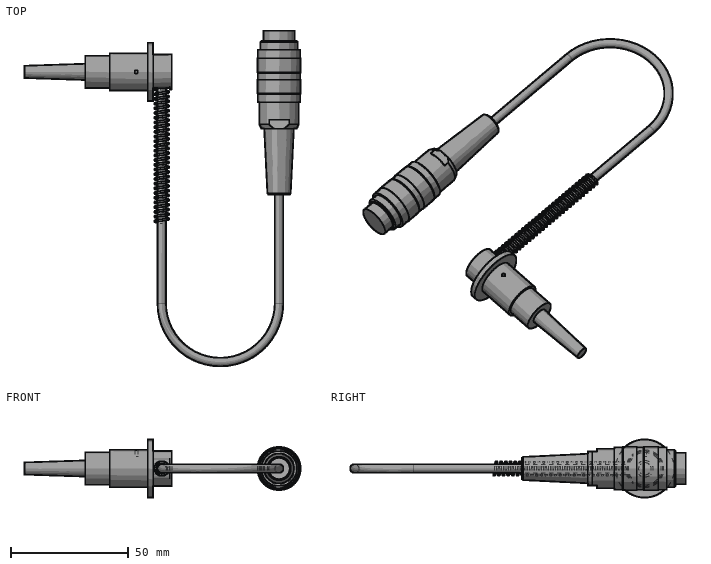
import cadquery as cq

probe_length = 26.0
probe_tip_diameter = 5.3
probe_base_diameter = 7.0

collar_diameter = 13.9
barrel_start = 36.4
barrel_diameter = 16.0
flange_diameter = 25.0
flange_start = 52.6
flange_end = 54.9
boss_diameter = 15.0
boss_end = 63.0
set_hole_diameter = 1.5
set_hole_depth = 2.9
set_hole_x = 47.7
seat_distance = 6.9
seat_blend = 3.6
seat_rim = 0.9
seat_end = boss_end - seat_rim

cable_diameter = 3.7
cable_x = 58.6
connector_x = 108.7
bend_centre_y = -98.8
bend_radius = (connector_x - cable_x) / 2

spring_diameter = 6.3
wire_diameter = 0.9
spring_pitch = 2.0
spring_turns = 28.2
spring_radius = (spring_diameter - wire_diameter) / 2
spring_end_y = -64.2
spring_length = spring_pitch * spring_turns

connector_end_y = 17.6
plug_diameter = 13.5
plug_length = 4.5
neck_diameter = 16.0
neck_chamfer = 0.6
sleeve_start = 8.2
sleeve_diameter = 18.2
sleeve_end = 30.5
ring_diameter = 18.5
ring_starts = (11.9, 21.0)
ring_length = 6.3
ring_bevel = 0.5
tail_diameter = 16.9
tail_chamfer_start = 40.0
tail_end = 41.9
tail_face_diameter = 15.2
flat_start = 38.0
flat_distance = 7.3

boot_start_diameter = 12.8
boot_end_diameter = 10.0
boot_face_diameter = 9.0
boot_end = 70.0
boot_chamfer = (boot_end_diameter - boot_face_diameter) / 2

connector_axis = cq.Workplane("XY", origin=(connector_x, connector_end_y, 0))


def revolve_along_y(profile):
    """Revolve (distance from free end, diameter) points about the connector axis."""
    points = [(diameter / 2, -distance) for distance, diameter in profile]
    first_distance = profile[0][0]
    last_distance = profile[-1][0]
    outline = [(0, -first_distance)] + points + [(0, -last_distance)]
    return connector_axis.polyline(outline).close().revolve(360, (0, 0), (0, 1))


def make_probe():
    return (
        cq.Workplane("YZ")
        .circle(probe_tip_diameter / 2)
        .workplane(offset=probe_length)
        .circle(probe_base_diameter / 2)
        .loft()
    )


def cylinder_along_x(diameter, start, end):
    return cq.Workplane("YZ", origin=(start, 0, 0)).circle(diameter / 2).extrude(end - start)


def make_seat():
    """Front part of the boss, with a flat facing -Y that blends into the round."""
    flat_cut = cq.Workplane("XY").box(2 * boss_end, boss_diameter, boss_diameter).translate(
        (boss_end, -seat_distance - boss_diameter / 2, 0)
    )
    return (
        cylinder_along_x(boss_diameter, flange_end, seat_end)
        .cut(flat_cut)
        .edges("|X and (<Y)")
        .fillet(seat_blend)
    )


def make_housing():
    housing = (
        cylinder_along_x(collar_diameter, probe_length, barrel_start)
        .union(cylinder_along_x(barrel_diameter, barrel_start, flange_start))
        .union(cylinder_along_x(flange_diameter, flange_start, flange_end))
        .union(make_seat())
        .union(cylinder_along_x(boss_diameter, seat_end, boss_end))
    )
    set_hole = (
        cq.Workplane("XY", origin=(set_hole_x, 0, barrel_diameter / 2))
        .circle(set_hole_diameter / 2)
        .extrude(-set_hole_depth)
    )
    return housing.cut(set_hole)


def make_cable():
    path = (
        cq.Workplane("XY")
        .moveTo(cable_x, -seat_distance)
        .lineTo(cable_x, bend_centre_y)
        .threePointArc(
            (cable_x + bend_radius, bend_centre_y - bend_radius), (connector_x, bend_centre_y)
        )
        .lineTo(connector_x, connector_end_y - boot_end)
    )
    return (
        cq.Workplane("XZ", origin=(cable_x, -seat_distance, 0))
        .circle(cable_diameter / 2)
        .sweep(path)
    )


def make_spring():
    helix = cq.Wire.makeHelix(spring_pitch, spring_length, spring_radius)
    wire = (
        cq.Workplane("XZ", origin=(spring_radius, 0, 0))
        .circle(wire_diameter / 2)
        .sweep(cq.Workplane(helix), isFrenet=True)
    )
    return (
        wire.rotate((0, 0, 0), (0, 0, 1), 90)
        .rotate((0, 0, 0), (1, 0, 0), -90)
        .translate((cable_x, spring_end_y, 0))
    )


def make_connector():
    profile = [
        (0, plug_diameter),
        (plug_length, plug_diameter),
        (plug_length, neck_diameter - 2 * neck_chamfer),
        (plug_length + neck_chamfer, neck_diameter),
        (sleeve_start, neck_diameter),
        (sleeve_start, sleeve_diameter),
    ]
    for ring_start in ring_starts:
        ring_end = ring_start + ring_length
        profile += [
            (ring_start, sleeve_diameter),
            (ring_start, ring_diameter),
            (ring_end - ring_bevel, ring_diameter),
            (ring_end, sleeve_diameter),
        ]
    profile += [
        (sleeve_end, sleeve_diameter),
        (sleeve_end, tail_diameter),
        (tail_chamfer_start, tail_diameter),
        (tail_end, tail_face_diameter),
    ]
    connector = revolve_along_y(profile)
    flat_length = tail_end - flat_start
    for side in (1, -1):
        flat_cut = cq.Workplane("XY").box(
            sleeve_diameter, flat_length, sleeve_diameter
        ).translate((
            connector_x,
            connector_end_y - flat_start - flat_length / 2,
            side * (flat_distance + sleeve_diameter / 2),
        ))
        connector = connector.cut(flat_cut)
    return connector


def make_boot():
    return revolve_along_y([
        (tail_end, boot_start_diameter),
        (boot_end - boot_chamfer, boot_end_diameter),
        (boot_end, boot_face_diameter),
    ])


probe = make_probe()
housing = make_housing()
cable = make_cable()
spring = make_spring()
connector = make_connector()
boot = make_boot()

result = cq.Compound.makeCompound([
    probe.val(),
    housing.val(),
    cable.val(),
    spring.val(),
    connector.val(),
    boot.val(),
])